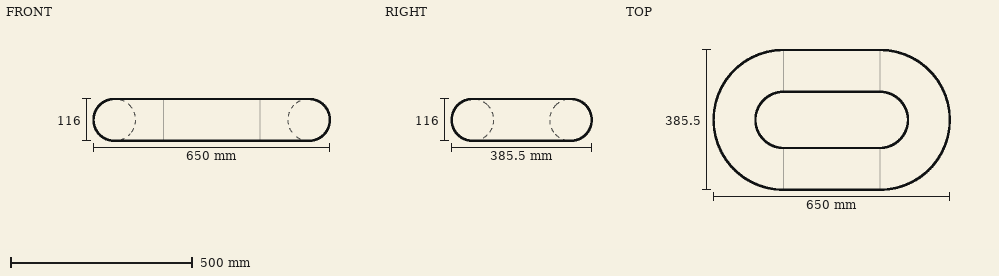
import cadquery as cq

link_length = 650.0
link_width = 385.5
bar_diameter = 116.0

bar_radius = bar_diameter / 2
bend_radius = link_width / 2 - bar_radius
half_straight = (link_length - link_width) / 2

centreline = (
    cq.Workplane("XY")
    .moveTo(-half_straight, -bend_radius)
    .lineTo(half_straight, -bend_radius)
    .threePointArc((half_straight + bend_radius, 0), (half_straight, bend_radius))
    .lineTo(-half_straight, bend_radius)
    .threePointArc((-half_straight - bend_radius, 0), (-half_straight, -bend_radius))
    .close()
)

bar_section = cq.Workplane("YZ", origin=(-half_straight, -bend_radius, 0)).circle(bar_radius)
result = bar_section.sweep(centreline)